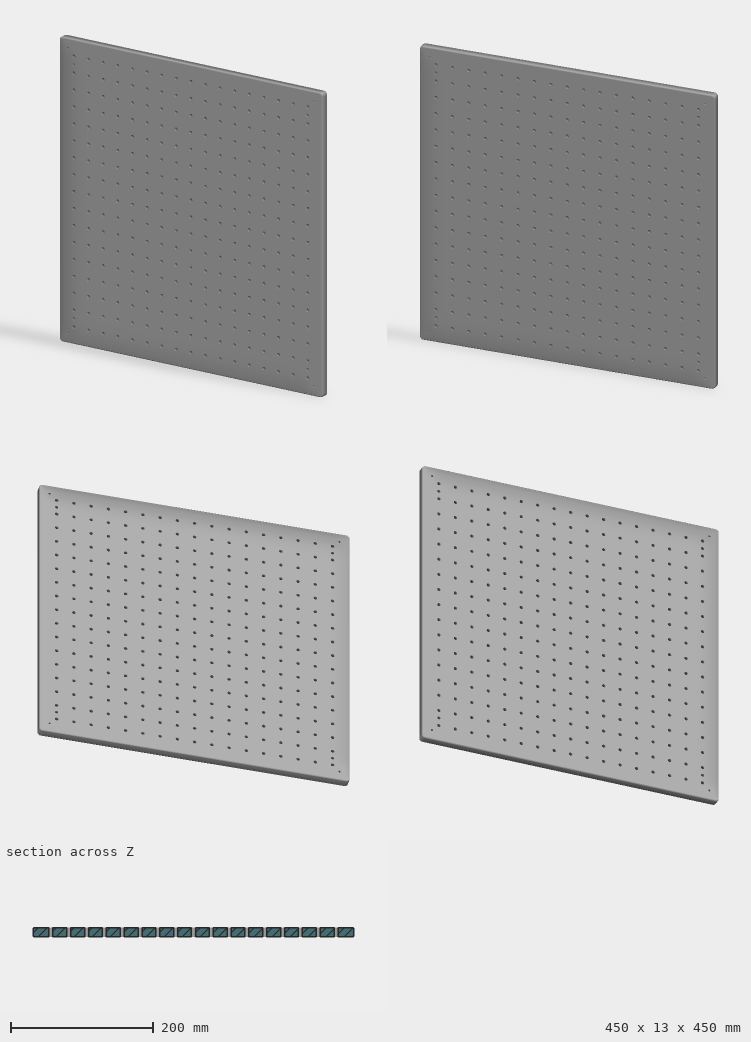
import cadquery as cq

side = 450.0
thickness = 13.0
corner_radius = 5.0
rim_radius = 2.0

grid_count = 17
grid_pitch = side / (grid_count + 1)
grid_hole_diameter = 5.0

mount_hole_diameter = 4.5
corner_hole_inset = 15.0
corner_hole_diameter = 3.0

grid_half_span = (grid_count - 1) / 2 * grid_pitch
mount_half_height = grid_half_span - grid_pitch / 2
corner_half_span = side / 2 - corner_hole_inset


def rounded_panel():
    """Upright square panel centred on the origin, with rounded corners and rounded rims."""
    panel = cq.Workplane("XZ").rect(side, side).extrude(thickness / 2, both=True)
    panel = panel.edges("|Y").fillet(corner_radius)
    return panel.faces("<Y or >Y").edges().fillet(rim_radius)


def drilling(hole_centres, diameter):
    """Round pins along Y, long enough to pass right through the panel."""
    return hole_centres.circle(diameter / 2).extrude(thickness, both=True)


mid_plane = cq.Workplane("XZ")
grid_centres = mid_plane.rarray(grid_pitch, grid_pitch, grid_count, grid_count)
mount_centres = mid_plane.rarray(2 * grid_half_span, 2 * mount_half_height, 2, 2)
corner_centres = mid_plane.rarray(2 * corner_half_span, 2 * corner_half_span, 2, 2)

result = (
    rounded_panel()
    .cut(drilling(grid_centres, grid_hole_diameter))
    .cut(drilling(mount_centres, mount_hole_diameter))
    .cut(drilling(corner_centres, corner_hole_diameter))
)